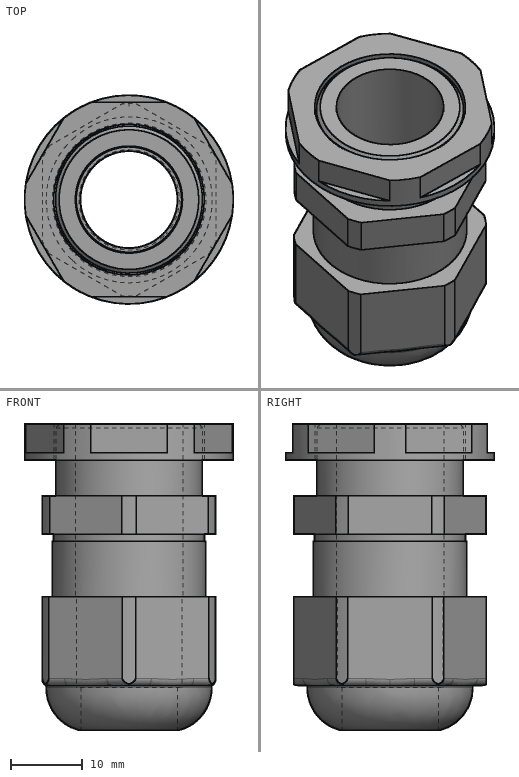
import cadquery as cq
import math

total_height = 42.55
dome_height = 5.95
cap_bottom = 6.2
cap_top = 18.55
neck_bottom = 26.25
collar_bottom = 27.25
collar_top = 32.55

thread_radius = 10.2
thread_chamfer = 0.5
neck_radius = 10.5
sleeve_radius = 10.7
hex_across_flats = 24.1
collar_corner_radius = 13.35
cap_corner_radius = 13.4
cap_edge_fillet = 1.0
dome_radius = 11.55
dome_arc_radius = 6.15

bore_radius = 7.45
seal_radius = 7.3
entry_radius = 6.72

nut_radius = 14.5
nut_height = 5.0
nut_flange_height = 1.0
nut_across_flats = 27.0
nut_hole_radius = 10.45


def cylinder(radius, bottom, top):
    return cq.Workplane("XY").workplane(offset=bottom).circle(radius).extrude(top - bottom)


def hexagon(across_flats, bottom, top, turn):
    """Hexagonal prism; turn = 0 puts two corners on the X axis, 30 puts them on the Y axis."""
    corner_diameter = across_flats / math.cos(math.pi / 6)
    prism = cq.Workplane("XY").polygon(6, corner_diameter).extrude(top - bottom)
    return prism.rotate((0, 0, 0), (0, 0, 1), turn).translate((0, 0, bottom))


def make_collar():
    """Wrench collar: a hexagon with its corners turned round."""
    prism = hexagon(hex_across_flats, collar_bottom, collar_top, 30)
    return prism.intersect(cylinder(collar_corner_radius, collar_bottom, collar_top))


def make_dome():
    """Rounded clamping end, continued as a plain cylinder inside the hexagon."""
    arc_center = dome_radius - dome_arc_radius
    tip_radius = arc_center + math.sqrt(dome_arc_radius**2 - dome_height**2)
    profile = (
        cq.Workplane("XZ")
        .lineTo(tip_radius, 0)
        .radiusArc((dome_radius, dome_height), -dome_arc_radius)
        .lineTo(dome_radius, cap_top)
        .lineTo(0, cap_top)
        .close()
    )
    return profile.revolve(360, (0, 0, 0), (0, 1, 0))


def make_clamping_end():
    """Dome and hexagon: lower hexagon edges filleted against the dome, then the corners turned round."""
    prism = hexagon(hex_across_flats, cap_bottom, cap_top, 30)
    solid = make_dome().union(prism)
    lower_edges = [
        edge
        for edge in solid.edges("#Z").vals()
        if edge.geomType() == "LINE" and math.isclose(edge.Center().z, cap_bottom, abs_tol=0.005)
    ]
    filleted = solid.newObject(lower_edges).fillet(cap_edge_fillet)
    return filleted.intersect(cylinder(cap_corner_radius, 0, cap_top))


def make_gland():
    thread = cylinder(thread_radius, collar_top, total_height).faces(">Z").edges().chamfer(thread_chamfer)
    neck = cylinder(neck_radius, neck_bottom, collar_bottom)
    sleeve = cylinder(sleeve_radius, cap_top, neck_bottom)
    solid = make_clamping_end().union(sleeve).union(neck).union(make_collar()).union(thread)

    upper_bore = cylinder(bore_radius, cap_top, total_height)
    seal_bore = cylinder(seal_radius, dome_height, cap_top)
    entry = cylinder(entry_radius, 0, dome_height)
    return solid.cut(upper_bore).cut(seal_bore).cut(entry)


def make_locknut():
    """Hexagon with turned corners on a round flange, with clearance around the thread."""
    bottom = total_height - nut_height
    flange_top = bottom + nut_flange_height
    flange = cylinder(nut_radius, bottom, flange_top)
    prism = hexagon(nut_across_flats, flange_top, total_height, 0)
    head = prism.intersect(cylinder(nut_radius, flange_top, total_height))
    return flange.union(head).cut(cylinder(nut_hole_radius, bottom, total_height))


gland = make_gland()
locknut = make_locknut()

result = cq.Compound.makeCompound([gland.val(), locknut.val()])